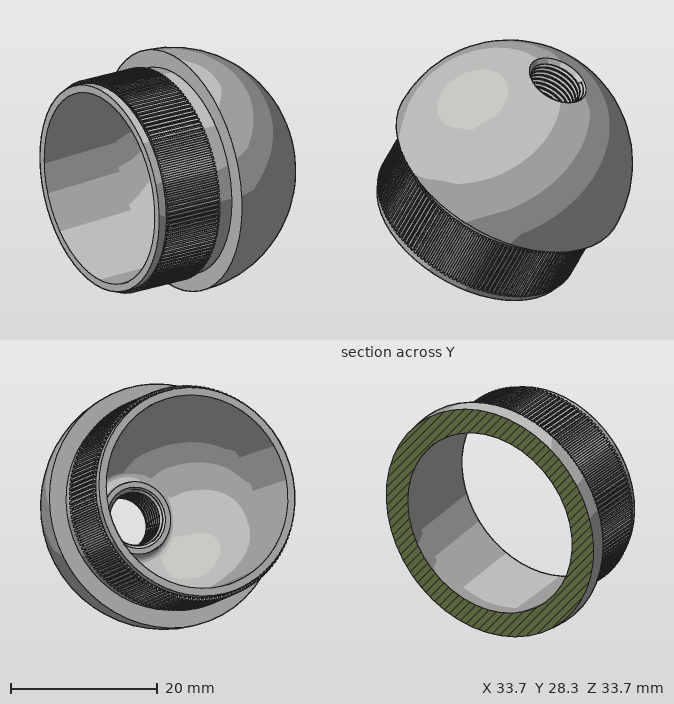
import cadquery as cq
import math

overall_length = 28.3
head_diameter = 33.7
spigot_diameter = 28.8
bore_diameter = 26.7

knurl_diameter = 29.65
knurl_root_diameter = 29.0
knurl_start = 2.25
knurl_length = 8.55
tooth_count = 144
tooth_share = 0.5

boss_diameter = 10.0
boss_end = 10.0
boss_fillet = 1.0

thread_major_diameter = 8.0
thread_minor_diameter = 7.28
thread_pitch = 0.75
thread_root_width = thread_pitch / 8
thread_half_angle = 30.0
thread_overlap = 0.07
thread_run_in = 0.45
thread_start_angle = 45.0
mouth_diameter = 8.45

head_radius = head_diameter / 2
spigot_radius = spigot_diameter / 2
bore_radius = bore_diameter / 2
boss_radius = boss_diameter / 2
major_radius = thread_major_diameter / 2
minor_radius = thread_minor_diameter / 2
mouth_radius = mouth_diameter / 2
mouth_depth = mouth_radius - minor_radius

head_height = math.sqrt(head_radius**2 - mouth_radius**2)
spigot_end = head_height - overall_length


def polar(radius, angle):
    return radius * math.cos(angle), radius * math.sin(angle)


def make_body():
    """Revolve the shell, boss and chamfered hole; the profile is drawn as (radius, Y)."""
    fillet_x = boss_radius + boss_fillet
    fillet_y = math.sqrt((bore_radius - boss_fillet) ** 2 - fillet_x**2)
    fillet_angle = math.atan2(fillet_y, fillet_x)
    fillet_on_dome = polar(bore_radius, fillet_angle)
    mid_x, mid_y = polar(boss_fillet, (fillet_angle + math.pi) / 2)
    fillet_mid = (fillet_x + mid_x, fillet_y + mid_y)

    mouth_angle = math.acos(mouth_radius / head_radius)
    profile = (
        cq.Workplane("XY")
        .moveTo(bore_radius, spigot_end)
        .lineTo(spigot_radius, spigot_end)
        .lineTo(spigot_radius, 0)
        .lineTo(head_radius, 0)
        .threePointArc(polar(head_radius, mouth_angle / 2), (mouth_radius, head_height))
        .lineTo(minor_radius, head_height - mouth_depth)
        .lineTo(minor_radius, boss_end + mouth_depth)
        .lineTo(mouth_radius, boss_end)
        .lineTo(boss_radius, boss_end)
        .lineTo(boss_radius, fillet_y)
        .threePointArc(fillet_mid, fillet_on_dome)
        .threePointArc(polar(bore_radius, fillet_angle / 2), (bore_radius, 0))
        .close()
    )
    return profile.revolve(360, (0, 0), (0, 1))


def make_knurl():
    """Straight teeth round the spigot, with a gap centred on the X and Z axes."""
    pitch_angle = 2 * math.pi / tooth_count
    half_tooth = tooth_share * pitch_angle / 2
    tip_radius = knurl_diameter / 2
    root_radius = knurl_root_diameter / 2
    outline = []
    for tooth in range(tooth_count):
        centre = (tooth + 0.5) * pitch_angle
        outline.append(polar(root_radius, centre - half_tooth))
        outline.append(polar(tip_radius, centre - half_tooth))
        outline.append(polar(tip_radius, centre + half_tooth))
        outline.append(polar(root_radius, centre + half_tooth))
    core_radius = (spigot_radius + bore_radius) / 2
    band = cq.Workplane("XZ", origin=(0, -knurl_start, 0))
    toothed_disc = band.polyline(outline).close().extrude(knurl_length)
    return toothed_disc.cut(band.circle(core_radius).extrude(knurl_length))


def make_thread_cutter():
    """Right-handed V groove swept along the hole, ending in the mouth at the dome top."""
    start = boss_end - thread_run_in
    length = head_height - mouth_depth / 2 - start
    inner_radius = minor_radius - thread_overlap
    half_root = thread_root_width / 2
    half_mouth = half_root + (major_radius - inner_radius) * math.tan(math.radians(thread_half_angle))
    helix = cq.Wire.makeHelix(thread_pitch, length, minor_radius, cq.Vector(0, start, 0), cq.Vector(0, 1, 0))
    at = helix.startPoint()
    return (
        cq.Workplane(cq.Plane((0, start, 0), xDir=(at.x, 0, at.z), normal=(-at.z, 0, at.x)))
        .polyline([
            (inner_radius, -half_mouth),
            (major_radius, -half_root),
            (major_radius, half_root),
            (inner_radius, half_mouth),
        ])
        .close()
        .sweep(cq.Workplane(obj=helix), isFrenet=True)
    )


threaded_body = make_body().cut(make_thread_cutter()).rotate((0, 0, 0), (0, 1, 0), thread_start_angle)
result = threaded_body.union(make_knurl())